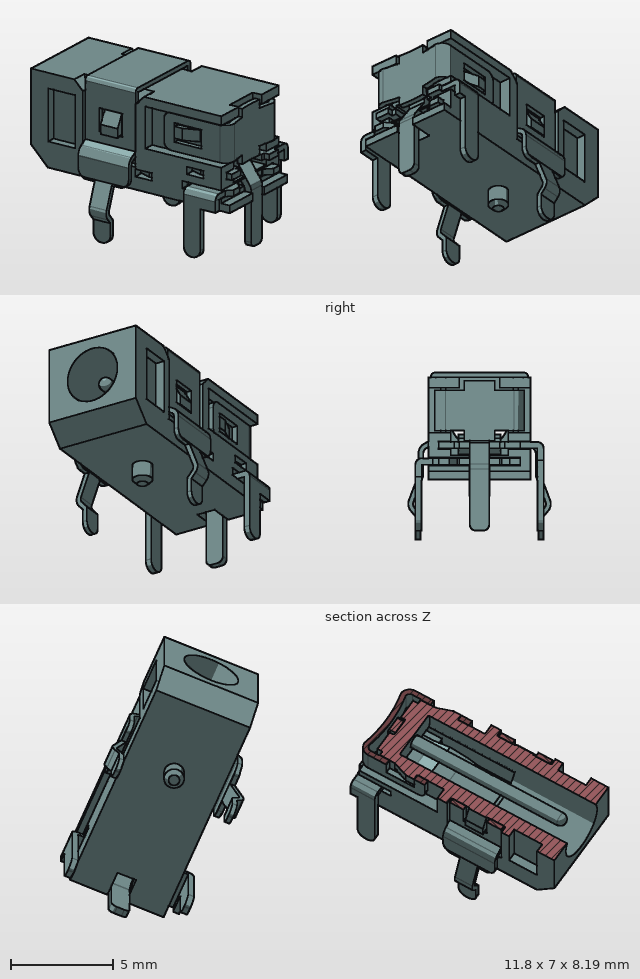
import cadquery as cq
import math


body_length = 11.3
half_width = 2.5
body_height = 5.0
lip_end = 11.8
lip_height = 0.41
nose_chamfer = 1.0
nose_recess_x = (1.01, 2.62)
nose_recess_z = (1.38, 4.18)
nose_recess_depth = 0.47
beyond = 4.72

axis_z = 2.97
bore_radius = 1.44
bore_depth = 9.68
pin_radius = 0.34
pin_tip_x = 0.9

post_radius = 0.5
post_length = 1.01
post_chamfer = 0.22

shield_x = (3.15, 6.14)
shield_middle_x = sum(shield_x) / 2
shield_sheet = 0.25
shield_half_width = 2.38
shield_top = body_height + shield_sheet
shield_corner = 0.21
skirt_start_z = 1.95
skirt_slope = 30.0
skirt_half_width = 3.0
skirt_radius = 0.54
skirt_end_z = 0.22
skirt_edge_z = 0.14
skirt_corner = 0.5
shield_leg_width = 1.01
knee = (3.58, -1.3)
knee_radius = 0.52
shield_foot_y = 3.14
shield_foot_z = -1.8
shield_leg_end = -2.94
shield_leg_round = 0.48
shield_window_x = (3.99, 5.33)
shield_window_z = (2.54, 3.76)

groove_clearance = 0.07
groove_z = (1.19, 4.5)
groove_floor_y = shield_half_width - shield_sheet
catch_top_z = 3.66
catch_step_z = 2.97
catch_bottom_z = 2.47
catch_root = 0.12

clip_sheet = 0.3
clip_half_width = 2.2
clip_z = (2.4, 4.39)
clip_arm_x = 7.69
clip_arm_corner = 0.41
clip_back_x = 11.52
clip_bend_radius = 0.52
clip_bow_x = 11.32
clip_tab_half_width = 0.75
clip_tab_z = (1.91, 4.84)
clip_window_x = (8.31, 9.91)
clip_window_z = (2.88, 3.88)

clip_recess_x = 6.78
clip_recess_z = (2.29, 4.51)
clip_recess_floor_y = clip_half_width - clip_sheet
rear_wall_x = 10.79
rear_step_x = 10.5
rear_step_half_width = 1.65
latch_x = (8.31, 8.78, 9.63)
latch_z = (3.08, 3.7)
top_notch_half_width = 0.99

sheet = 0.32
plate_half_width = 2.01
leg_outer_y = 3.15
leg_width = 0.99
leg_end_z = -2.5
leg_round = 0.48
shoulder_end_x = 11.4
shoulder_height = 0.91
upper_plate_z = 1.69
lower_plate_z = 0.88
upper_leg_x = 10.0
lower_leg_x = 9.51
upper_plate_x = (8.97, 11.6)
lower_plate_x = (5.9, 11.69)
upper_tab_inner_y = 1.24
lower_tab_inner_y = 1.49
plate_gap_x = 10.27
plate_gap_half_width = 1.0
barb_height = 0.24
barb_slope_length = 0.66
barb_flat_length = 0.3
slot_height = 0.4
slot_lead = 0.52
window_length = 0.99
upper_window_x = 9.25
lower_window_x = 6.2

strip_sheet = 0.37
strip_half_width = 0.48
strip_upright_x = 10.9
strip_top = 3.66
strip_bend_z = 1.79
strip_leg_x = 11.69
strip_leg_bend_z = 0.66
strip_leg_round = 0.3
strip_top_chamfer = 0.18
strip_bend_radius = 0.41
strip_front_x = strip_upright_x - strip_sheet
strip_slot_half_width = 0.5

leaf_sheet = 0.18
leaf_half_width = 1.04
leaf_start = (4.96, 1.42)
leaf_knee = (7.32, 2.11)
leaf_crest = (8.26, 2.22)
leaf_rest_x = 9.2
leaf_end_x = 10.38
channel_x = 4.72
channel_half_width = 1.42
channel_floor = 1.18
channel_top = 2.47


def box(x, y, z):
    """Box between the given pairs of limits."""
    return (
        cq.Workplane("XY", origin=(x[0], y[0], z[0]))
        .box(x[1] - x[0], y[1] - y[0], z[1] - z[0], centered=False)
    )


def mirrored(shape):
    return shape.mirror("XZ")


def both_sides(shape):
    return shape.union(mirrored(shape))


def right_offset(points, distance):
    """Shift an open polyline to the right of its direction of travel."""
    headings = [math.atan2(b[1] - a[1], b[0] - a[0]) for a, b in zip(points, points[1:])]
    before = [headings[0]] + headings
    after = headings + [headings[-1]]
    shifted = []
    for (u, v), first, second in zip(points, before, after):
        middle = (first + second) / 2
        reach = distance / math.cos((second - first) / 2)
        shifted.append((u + reach * math.sin(middle), v - reach * math.cos(middle)))
    return shifted


def bent_sheet(plane, outer, thickness, width, bends):
    """Sheet along a polyline, with `bends` giving the outer radius at chosen corners."""
    inner = right_offset(outer, thickness)
    sheet_solid = plane.polyline(outer + inner[::-1]).close().extrude(width / 2, both=True)
    for corner, radius in bends.items():
        for point, bend in ((outer[corner], radius), (inner[corner], radius - thickness)):
            if bend > 0:
                place = plane.plane.toWorldCoords(point)
                selector = cq.selectors.NearestToPointSelector(place.toTuple())
                sheet_solid = sheet_solid.edges(selector).fillet(bend)
    return sheet_solid


def plate_slot(plate_z):
    """Z limits of the housing slot around a terminal plate."""
    return plate_z - slot_height / 2, plate_z + slot_height / 2


def shield_catch():
    """Wedge on the -Y groove floor that snaps into the shield window."""
    profile = [
        (-groove_floor_y + catch_root, catch_top_z),
        (-groove_floor_y, catch_top_z),
        (-half_width, catch_step_z),
        (-half_width, catch_bottom_z),
        (-shield_half_width, shield_window_z[0]),
        (-groove_floor_y + catch_root, shield_window_z[0]),
    ]
    return (
        cq.Workplane("YZ", origin=(shield_middle_x, 0, 0))
        .polyline(profile).close().extrude(shield_leg_width / 2, both=True)
    )


def clip_latch():
    """Ramp on the -Y recess floor that snaps into the clip window."""
    profile = [
        (latch_x[0], -clip_recess_floor_y + catch_root),
        (latch_x[0], -clip_half_width),
        (latch_x[1], -clip_half_width),
        (latch_x[2], -clip_recess_floor_y),
        (latch_x[2], -clip_recess_floor_y + catch_root),
    ]
    return (
        cq.Workplane("XY", origin=(0, 0, latch_z[0]))
        .polyline(profile).close().extrude(latch_z[1] - latch_z[0])
    )


def shield_groove():
    """Groove in the -Y side, flaring at 45 degrees to the top."""
    x = (shield_x[0] - groove_clearance, shield_x[1] + groove_clearance)
    y = (-beyond, -groove_floor_y)
    rise = body_height - groove_z[1]
    flare_along_x = (
        cq.Workplane("XZ")
        .polyline([
            (x[0], groove_z[1]),
            (x[1], groove_z[1]),
            (x[1] + rise, body_height),
            (x[0] - rise, body_height),
        ])
        .close().extrude(beyond)
    )
    flare_along_y = (
        cq.Workplane("YZ", origin=(shield_middle_x, 0, 0))
        .polyline([
            (y[0], groove_z[1]),
            (y[1], groove_z[1]),
            (y[1] + rise, body_height),
            (y[0], body_height),
        ])
        .close().extrude(beyond, both=True)
    )
    flare = flare_along_x.intersect(flare_along_y)
    return box(x, y, groove_z).union(flare)


def terminal_cuts():
    """Slots for the terminal plates and openings for their legs and barbs."""
    upper = plate_slot(upper_plate_z)
    lower = plate_slot(lower_plate_z)
    inside = (-plate_half_width, plate_half_width)
    minus_side = (-beyond, -plate_half_width)
    plus_side = (plate_half_width, beyond)
    cuts = box((upper_plate_x[0], beyond + body_length), inside, upper)
    cuts = cuts.union(box((lower_plate_x[0], beyond + body_length), inside, lower))
    cuts = cuts.union(box((upper_leg_x - slot_lead, beyond + body_length), plus_side, upper))
    cuts = cuts.union(box((lower_leg_x - slot_lead, beyond + body_length), minus_side, lower))
    for window_x, z in ((upper_window_x, upper), (lower_window_x, lower)):
        cuts = cuts.union(box((window_x, window_x + window_length), minus_side, z))
    return cuts


def make_housing():
    half = (-half_width, half_width)
    body = (
        cq.Workplane("XZ")
        .moveTo(nose_chamfer, 0)
        .lineTo(lip_end, 0)
        .lineTo(lip_end, lip_height)
        .lineTo(body_length, lip_height)
        .lineTo(body_length, body_height)
        .lineTo(0, body_height)
        .lineTo(0, nose_chamfer)
        .close()
        .extrude(half_width, both=True)
    )
    post = (
        cq.Workplane("XY", origin=(shield_middle_x, 0, 0))
        .circle(post_radius).extrude(-post_length)
        .faces("<Z").chamfer(post_chamfer)
    )
    nose_recess = box(nose_recess_x, (-half_width, -half_width + nose_recess_depth), nose_recess_z)
    clip_recess = box((clip_recess_x, body_length), (-half_width, -clip_recess_floor_y), clip_recess_z)
    rear_step = box((rear_step_x, body_length), (-half_width, -rear_step_half_width), clip_recess_z)
    side_cuts = nose_recess.union(clip_recess).union(rear_step)
    body = body.cut(side_cuts).cut(mirrored(side_cuts))
    body = body.cut(shield_groove()).cut(mirrored(shield_groove()))
    body = body.union(both_sides(shield_catch())).union(both_sides(clip_latch())).union(post)

    bore = cq.Workplane("YZ", origin=(0, 0, axis_z)).circle(bore_radius).extrude(bore_depth)
    pin_hole = (
        cq.Workplane("YZ", origin=(0, 0, axis_z)).circle(pin_radius).extrude(body_length)
    )
    channel = box(
        (channel_x, body_length),
        (-channel_half_width, channel_half_width),
        (channel_floor, channel_top),
    )
    rear_gap = box((rear_wall_x, body_length), half, clip_recess_z)
    top_notch = box(
        (rear_wall_x, body_length),
        (-top_notch_half_width, top_notch_half_width),
        (clip_recess_z[0], body_height),
    )
    strip_slot = box(
        (strip_front_x, lip_end),
        (-strip_slot_half_width, strip_slot_half_width),
        (0, strip_top),
    )
    for cut in (bore, pin_hole, channel, rear_gap, top_notch, strip_slot, terminal_cuts()):
        body = body.cut(cut)
    return body


def make_shield():
    skirt_drop = (skirt_half_width - shield_half_width) * math.tan(math.radians(skirt_slope))
    outer = [
        (0, shield_top),
        (shield_half_width, shield_top),
        (shield_half_width, skirt_start_z),
        (skirt_half_width, skirt_start_z - skirt_drop),
        (skirt_half_width, skirt_end_z),
        knee,
        (shield_foot_y, shield_foot_z),
        (shield_foot_y, shield_leg_end),
    ]
    bends = {1: shield_corner, 3: skirt_radius, 5: knee_radius}
    width = shield_x[1] - shield_x[0]
    half_shield = bent_sheet(
        cq.Workplane("YZ", origin=(shield_middle_x, 0, 0)), outer, shield_sheet, width, bends
    )
    skirt_outline = (
        box(shield_x, (0, beyond), (skirt_edge_z, shield_top))
        .edges("|Y and <Z").fillet(skirt_corner)
    )
    leg_x = (shield_middle_x - shield_leg_width / 2, shield_middle_x + shield_leg_width / 2)
    leg_outline = (
        box(leg_x, (0, beyond), (shield_leg_end, shield_top))
        .edges("|Y and <Z").fillet(shield_leg_round)
    )
    window = box(shield_window_x, (0, beyond), shield_window_z)
    half_shield = half_shield.intersect(skirt_outline.union(leg_outline)).cut(window)
    return both_sides(half_shield)


def make_clip():
    bend_x = clip_back_x - clip_bend_radius
    bend_y = clip_half_width - clip_bend_radius
    diagonal = math.sqrt(0.5)

    def outline(depth):
        """Outer edge points of the clip, set inward by `depth`."""
        radius = clip_bend_radius - depth
        return {
            "arm": (clip_arm_x, clip_half_width - depth),
            "bend": (bend_x, bend_y + radius),
            "corner": (bend_x + radius * diagonal, bend_y + radius * diagonal),
            "back": (bend_x + radius, bend_y),
            "bow": (clip_bow_x - depth, 0),
        }

    def other(point):
        return point[0], -point[1]

    out = outline(0)
    inn = outline(clip_sheet)
    bent = (
        cq.Workplane("XY", origin=(0, 0, clip_tab_z[0]))
        .moveTo(*out["arm"])
        .lineTo(*out["bend"])
        .threePointArc(out["corner"], out["back"])
        .threePointArc(out["bow"], other(out["back"]))
        .threePointArc(other(out["corner"]), other(out["bend"]))
        .lineTo(*other(out["arm"]))
        .lineTo(*other(inn["arm"]))
        .lineTo(*other(inn["bend"]))
        .threePointArc(other(inn["corner"]), other(inn["back"]))
        .threePointArc(inn["bow"], inn["back"])
        .threePointArc(inn["corner"], inn["bend"])
        .lineTo(*inn["arm"])
        .close()
        .extrude(clip_tab_z[1] - clip_tab_z[0])
    )
    across = (-beyond, beyond)
    band = (
        box((clip_arm_x, lip_end), across, clip_z)
        .edges("|Y and <X").fillet(clip_arm_corner)
    )
    tab = box((rear_wall_x, lip_end), (-clip_tab_half_width, clip_tab_half_width), clip_tab_z)
    return bent.intersect(band.union(tab)).cut(box(clip_window_x, across, clip_window_z))


def make_pin():
    """Round pin with a hemispherical tip, butting against its terminal."""
    tip_centre = (pin_tip_x + pin_radius, 0, axis_z)
    shaft = (
        cq.Workplane("YZ", origin=tip_centre)
        .circle(pin_radius).extrude(strip_front_x - tip_centre[0])
    )
    return shaft.union(cq.Workplane("XY", origin=tip_centre).sphere(pin_radius))


def side_leg(plate_z, leg_x):
    """Flange leaving the +Y side of a plate and bent down into a leg."""
    top = plate_z + sheet / 2
    outer = [(plate_half_width, top), (leg_outer_y, top), (leg_outer_y, leg_end_z)]
    length = shoulder_end_x - leg_x
    bent = bent_sheet(
        cq.Workplane("YZ", origin=(leg_x + length / 2, 0, 0)), outer, sheet, length, {1: sheet}
    )
    shoulder = box((leg_x, shoulder_end_x), (0, beyond), (top - shoulder_height, top))
    leg = (
        box((leg_x, leg_x + leg_width), (0, beyond), (leg_end_z, top))
        .edges("|Y and <Z").fillet(leg_round)
    )
    return bent.intersect(shoulder.union(leg))


def plate_layer(plate_z, points):
    return (
        cq.Workplane("XY", origin=(0, 0, plate_z - sheet / 2))
        .polyline(points).close().extrude(sheet)
    )


def barb(plate_z, window_x):
    """Retaining tooth on the -Y edge of a plate, standing in a housing window."""
    crest_x = window_x + barb_slope_length
    points = [
        (window_x, -plate_half_width),
        (crest_x, -plate_half_width - barb_height),
        (crest_x + barb_flat_length, -plate_half_width - barb_height),
        (crest_x + barb_flat_length, -plate_half_width),
    ]
    return plate_layer(plate_z, points)


def rear_gap_cut():
    """Space between the rear tabs for the pin terminal."""
    return box(
        (plate_gap_x, lip_end), (-plate_gap_half_width, plate_gap_half_width), (0, body_height)
    )


def make_upper_terminal():
    tab_start = body_length
    plate = plate_layer(upper_plate_z, [
        (upper_plate_x[0], -plate_half_width),
        (tab_start, -plate_half_width),
        (tab_start, plate_half_width),
        (upper_plate_x[0], plate_half_width),
    ])
    tab = plate_layer(upper_plate_z, [
        (tab_start, upper_tab_inner_y),
        (upper_plate_x[1], upper_tab_inner_y),
        (upper_plate_x[1], plate_half_width),
        (tab_start, plate_half_width),
    ])
    plate = plate.cut(rear_gap_cut()).union(both_sides(tab))
    return plate.union(barb(upper_plate_z, upper_window_x)).union(side_leg(upper_plate_z, upper_leg_x))


def make_lower_terminal():
    tab_slope = lower_plate_x[1] - body_length
    plate = plate_layer(lower_plate_z, [
        (lower_plate_x[0], -plate_half_width),
        (body_length, -plate_half_width),
        (body_length, plate_half_width),
        (lower_plate_x[0], plate_half_width),
    ])
    tab = plate_layer(lower_plate_z, [
        (body_length, lower_tab_inner_y - tab_slope),
        (lower_plate_x[1], lower_tab_inner_y),
        (lower_plate_x[1], plate_half_width),
        (body_length, plate_half_width),
    ])
    gusset_reach = lower_plate_x[1] - shoulder_end_x
    gusset = plate_layer(lower_plate_z, [
        (shoulder_end_x, -plate_half_width),
        (lower_plate_x[1], -plate_half_width),
        (shoulder_end_x, -plate_half_width - gusset_reach),
    ])
    plate = plate.cut(rear_gap_cut()).union(both_sides(tab)).union(gusset)
    leg = mirrored(side_leg(lower_plate_z, lower_leg_x))
    return plate.union(barb(lower_plate_z, lower_window_x)).union(leg)


def make_pin_terminal():
    outer = [
        (strip_upright_x, strip_top),
        (strip_upright_x, strip_bend_z),
        (strip_leg_x, strip_leg_bend_z),
        (strip_leg_x, leg_end_z),
    ]
    return (
        bent_sheet(
            cq.Workplane("XZ"), outer, strip_sheet, 2 * strip_half_width, {2: strip_bend_radius}
        )
        .faces("<Z").edges("|X").fillet(strip_leg_round)
        .faces(">Z").edges("|X").chamfer(strip_top_chamfer)
    )


def make_contact_leaf():
    rest_top = upper_plate_z + sheet / 2 + leaf_sheet
    top_line = [
        leaf_start,
        leaf_knee,
        leaf_crest,
        (leaf_rest_x, rest_top),
        (leaf_end_x, rest_top),
    ]
    return bent_sheet(cq.Workplane("XZ"), top_line, leaf_sheet, 2 * leaf_half_width, {})


housing = make_housing()
shield = make_shield()
clip = make_clip()
pin = make_pin()
upper_terminal = make_upper_terminal()
lower_terminal = make_lower_terminal()
pin_terminal = make_pin_terminal()
contact_leaf = make_contact_leaf()

bodies = [
    housing,
    shield,
    clip,
    pin,
    upper_terminal,
    lower_terminal,
    pin_terminal,
    contact_leaf,
]
result = cq.Compound.makeCompound([body.solids().val() for body in bodies])